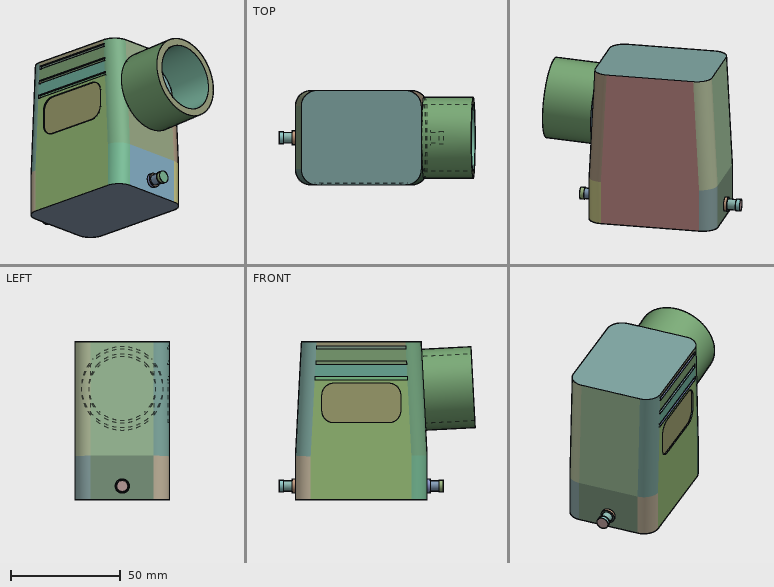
import cadquery as cq
import math

BODY_LENGTH = 60.0
BODY_WIDTH = 43.0
BODY_HEIGHT = 72.0
BASE_HEIGHT = 20.0
DRAFT_ANGLE = 3.0
CORNER_RADIUS = 7.1

ENTRY_DIAMETER = 37.0
ENTRY_BORE_DIAMETER = 30.41
ENTRY_CENTER_Z = 51.3
ENTRY_TIP_X = 51.87

PIN_CENTER_Z = 6.3
PIN_TIP_X = 37.35
PIN_HEAD_DIAMETER = 5.5
PIN_HEAD_LENGTH = 2.0
PIN_NECK_DIAMETER = 4.9
PIN_COLLAR_DIAMETER = 6.5
PIN_COLLAR_LENGTH = 1.4

GROOVE_COUNT = 3
GROOVE_PITCH = 7.0
GROOVE_HEIGHT = 1.5
GROOVE_DEPTH = 1.0
LOWEST_GROOVE_BOTTOM_Z = 54.6

LABEL_LENGTH = 36.0
LABEL_HEIGHT = 18.0
LABEL_CENTER_Z = 44.1
LABEL_CORNER_RADIUS = 5.5
LABEL_DEPTH = 0.6

draft = math.radians(DRAFT_ANGLE)
front_y = -BODY_WIDTH / 2
entry_mouth_x = ENTRY_TIP_X - ENTRY_DIAMETER / 2 * math.sin(draft)


def body_half_length(z):
    """Distance from the middle plane to an end wall at height z."""
    return BODY_LENGTH / 2 - max(z - BASE_HEIGHT, 0.0) * math.tan(draft)


def flat_half_length(z):
    """Half length of the flat front wall between the rounded corners of the drafted part."""
    return body_half_length(z) - CORNER_RADIUS / math.cos(draft)


def make_body():
    base_half = body_half_length(0)
    top_half = body_half_length(BODY_HEIGHT)
    outline = [
        (-base_half, 0),
        (base_half, 0),
        (base_half, BASE_HEIGHT),
        (top_half, BODY_HEIGHT),
        (-top_half, BODY_HEIGHT),
        (-base_half, BASE_HEIGHT),
    ]
    block = cq.Workplane("XZ").polyline(outline).close().extrude(BODY_WIDTH / 2, both=True)
    upright_edges = block.faces("<Y or >Y").edges("not #Z")
    return upright_edges.fillet(CORNER_RADIUS)


def make_pin(side):
    """Turned pin along X; side is +1 or -1 and picks the end wall."""
    wall_x = BODY_LENGTH / 2
    sections = [
        (PIN_COLLAR_DIAMETER, wall_x + PIN_COLLAR_LENGTH),
        (PIN_NECK_DIAMETER, PIN_TIP_X - PIN_HEAD_LENGTH),
        (PIN_HEAD_DIAMETER, PIN_TIP_X),
    ]
    pin = cq.Workplane("YZ")
    start_x = wall_x - CORNER_RADIUS
    for diameter, end_x in sections:
        plane = cq.Workplane("YZ", origin=(side * start_x, 0, PIN_CENTER_Z))
        pin = pin.add(plane.circle(diameter / 2).extrude(side * (end_x - start_x)))
        start_x = end_x
    return pin.combine()


def entry_length():
    """Length of the entry's axis from its mouth to the end wall."""
    return (entry_mouth_x - body_half_length(ENTRY_CENTER_Z)) * math.cos(draft)


def entry_cylinder(diameter, length):
    """Cylinder that starts at the entry's mouth and runs back along its tilted axis."""
    inward = cq.Vector(-math.cos(draft), 0, -math.sin(draft))
    mouth = cq.Vector(entry_mouth_x, 0, ENTRY_CENTER_Z)
    return cq.Workplane(obj=cq.Solid.makeCylinder(diameter / 2, length, mouth, inward))


def make_groove(bottom_z):
    top_z = bottom_z + GROOVE_HEIGHT
    outline = [
        (-flat_half_length(bottom_z), bottom_z),
        (flat_half_length(bottom_z), bottom_z),
        (flat_half_length(top_z), top_z),
        (-flat_half_length(top_z), top_z),
    ]
    front = cq.Workplane("XZ", origin=(0, front_y, 0))
    return front.polyline(outline).close().extrude(-GROOVE_DEPTH)


def make_label_recess():
    front = cq.Workplane("XZ", origin=(0, front_y, LABEL_CENTER_Z))
    block = front.rect(LABEL_LENGTH, LABEL_HEIGHT).extrude(-LABEL_DEPTH)
    return block.edges("|Y").fillet(LABEL_CORNER_RADIUS)


result = make_body()
result = result.union(entry_cylinder(ENTRY_DIAMETER, entry_length()))
result = result.cut(entry_cylinder(ENTRY_BORE_DIAMETER, entry_length()))
for side in (-1, 1):
    result = result.union(make_pin(side))
for index in range(GROOVE_COUNT):
    result = result.cut(make_groove(LOWEST_GROOVE_BOTTOM_Z + index * GROOVE_PITCH))
result = result.cut(make_label_recess())